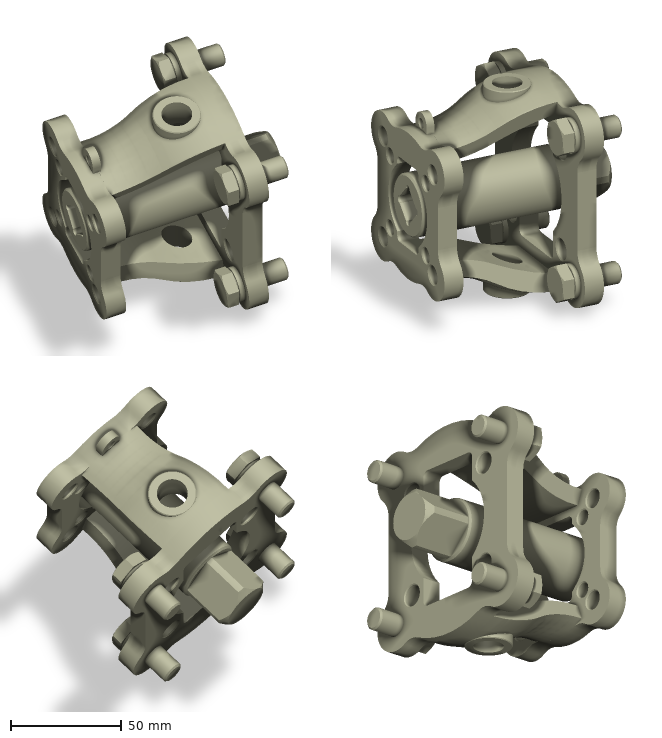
import cadquery as cq
import math

CORNERS = [(-1, -1), (-1, 1), (1, -1), (1, 1)]

plate_thickness = 9.7
back_plate_end = 75.0
back_plate_start = back_plate_end - plate_thickness

front_lobe_offset = 25.6
front_lobe_radius = 11.0
front_half_width = 30.1
front_end_radius = 36.0

back_lobe_offset = 36.0
back_lobe_radius = 12.5
back_half_width = 41.0
back_end_radius = 51.0

outline_fillet = 10.0

front_opening_radius = 19.3
front_opening_half_width = 10.6
front_opening_half_height = 20.9
back_opening_radius = 25.1
back_opening_half_width = 16.7
back_opening_half_height = 33.0
opening_corner_radius = 2.5

outer_hole_offset = 24.8
outer_hole_diameter = 8.9
back_hole_diameter = 10.0
inner_hole_offset = 17.7
inner_hole_diameter = 7.1
hole_chamfer = 0.5

arm_back_radius = back_end_radius
arm_waist = 12.2
arm_waist_radius = 36.0
arm_crease = 35.5
arm_inner_front = 24.5
arm_inner_middle = 22.4
arm_inner_middle_height = 25.5
arm_inner_crease = 29.7
arm_inner_back = 39.3
arm_side_angle = 22.0
arm_front_offset = 4.6
arm_back_offset = 2.1

boss_diameter = 22.0
boss_bore = 14.0
boss_position = 50.5
boss_base = 39.8
boss_chamfer = 0.4

lug_front = 6.7
lug_thickness = 4.0
lug_center_height = 39.3
lug_diameter = 10.9
lug_hole_diameter = 5.1
lug_base = 33.7

shaft_diameter = 30.0
shaft_shoulder = 74.5
shaft_chamfer = 0.9
shaft_end = 98.0
square_width = 22.0
square_corner_diameter = 28.0
square_chamfer = 3.0
socket_width = 14.0
socket_depth = 30.6
socket_relief_diameter = 3.6

washer_diameter = 16.6
washer_thickness = 2.4
collar_diameter = 14.6
collar_thickness = 0.6
head_width = 16.0
head_thickness = 5.8
head_chamfer = 0.7
head_face_margin = 1.3
bolt_diameter = 10.6
bolt_hole_diameter = 10.7
bolt_end = 88.1
bolt_chamfer = 0.8


def drawn_at(y):
    """A plane at depth y whose local axes are X and Z; its extrusions go toward +Y."""
    return cq.Workplane(cq.Plane(origin=(0, y, 0), xDir=(1, 0, 0), normal=(0, -1, 0)))


def cylinder(start, length, diameter, x=0, z=0):
    """A cylinder along +Y."""
    return drawn_at(start).center(x, z).circle(diameter / 2).extrude(-length)


def cone(start, length, start_diameter, end_diameter, x=0, z=0):
    """A cone along +Y."""
    solid = cq.Solid.makeCone(
        start_diameter / 2, end_diameter / 2, length, pnt=cq.Vector(x, start, z), dir=cq.Vector(0, 1, 0)
    )
    return cq.Workplane(solid)


def toward(start, end, distance):
    """The point at a distance from start, on the way to end."""
    share = distance / math.dist(start, end)
    return (start[0] + share * (end[0] - start[0]), start[1] + share * (end[1] - start[1]))


def arc_to(outline, center, start, end):
    """Continues an outline from start to end along the shorter arc about a center."""
    chord_middle = ((start[0] + end[0]) / 2, (start[1] + end[1]) / 2)
    return outline.threePointArc(toward(center, chord_middle, math.dist(center, start)), end)


def plate_blank(start, lobe_offset, lobe_radius, half_width, end_radius):
    """A plate with four corner lobes, straight sides, round ends and tangent fillets between them."""
    axis = (0, 0)
    lobe = (lobe_offset, lobe_offset)
    lobe_reach = lobe_radius + outline_fillet

    lobe_distance = math.hypot(*lobe)
    end_reach = end_radius + outline_fillet
    cosine = (end_reach**2 + lobe_distance**2 - lobe_reach**2) / (2 * end_reach * lobe_distance)
    end_angle = math.pi / 4 + math.acos(cosine)
    end_fillet = (end_reach * math.cos(end_angle), end_reach * math.sin(end_angle))

    side_x = half_width + outline_fillet
    side_fillet = (side_x, lobe_offset - math.sqrt(lobe_reach**2 - (side_x - lobe_offset) ** 2))

    end_middle = (0, end_radius)
    end_tangent = toward(axis, end_fillet, end_radius)
    lobe_end_tangent = toward(lobe, end_fillet, lobe_radius)
    lobe_side_tangent = toward(lobe, side_fillet, lobe_radius)
    side_tangent = (half_width, side_fillet[1])
    lobe_tip = toward(lobe, (2 * lobe_offset, 2 * lobe_offset), lobe_radius)

    outline = drawn_at(start).lineTo(*end_middle)
    outline = arc_to(outline, axis, end_middle, end_tangent)
    outline = arc_to(outline, end_fillet, end_tangent, lobe_end_tangent)
    outline = outline.threePointArc(lobe_tip, lobe_side_tangent)
    outline = arc_to(outline, side_fillet, lobe_side_tangent, side_tangent)
    outline = outline.lineTo(half_width, 0)
    quarter = outline.close().extrude(-plate_thickness)
    half = quarter.union(quarter.mirror("YZ"))
    return half.union(half.mirror("XY"))


def opening_cutter(start, radius, half_width, half_height):
    """A round opening joined by 45 degree tangents to a tall rectangle with rounded corners."""
    tangent = radius * math.sqrt(0.5)
    shoulder = 2 * tangent - half_width
    tangent_band = [
        (half_width, shoulder),
        (tangent, tangent),
        (tangent, -tangent),
        (half_width, -shoulder),
        (-half_width, -shoulder),
        (-tangent, -tangent),
        (-tangent, tangent),
        (-half_width, shoulder),
    ]
    opening = drawn_at(start).rect(2 * half_width, 2 * half_height).extrude(-plate_thickness)
    opening = opening.edges("|Y").fillet(opening_corner_radius)
    opening = opening.union(drawn_at(start).polyline(tangent_band).close().extrude(-plate_thickness))
    return opening.union(cylinder(start, plate_thickness, 2 * radius))


def hole_cutter(start, diameter, x, z):
    """A hole through a plate with a chamfer at both faces."""
    end = start + plate_thickness
    wide = diameter + 2 * hole_chamfer
    cutter = cylinder(start, plate_thickness, diameter, x, z)
    cutter = cutter.union(cone(start, hole_chamfer, wide, diameter, x, z))
    return cutter.union(cone(end - hole_chamfer, hole_chamfer, diameter, wide, x, z))


def make_front_plate():
    plate = plate_blank(0, front_lobe_offset, front_lobe_radius, front_half_width, front_end_radius)
    plate = plate.cut(
        opening_cutter(0, front_opening_radius, front_opening_half_width, front_opening_half_height)
    )
    for side_x, side_z in CORNERS:
        for diameter, offset in (
            (outer_hole_diameter, outer_hole_offset),
            (inner_hole_diameter, inner_hole_offset),
        ):
            plate = plate.cut(hole_cutter(0, diameter, side_x * offset, side_z * offset))
    return plate


def make_back_plate():
    start = back_plate_start
    plate = plate_blank(start, back_lobe_offset, back_lobe_radius, back_half_width, back_end_radius)
    plate = plate.cut(
        opening_cutter(start, back_opening_radius, back_opening_half_width, back_opening_half_height)
    )
    for side_x, side_z in CORNERS:
        x, z = side_x * outer_hole_offset, side_z * outer_hole_offset
        plate = plate.cut(hole_cutter(start, back_hole_diameter, x, z))
        x, z = side_x * back_lobe_offset, side_z * back_lobe_offset
        plate = plate.cut(cylinder(start, plate_thickness, bolt_hole_diameter, x, z))
    return plate


def s_curve(waist, crease, end):
    """Centers of two arcs, tangent at the crease and flat at the waist and end, as (height, y)."""
    rise, run = end[0] - waist[0], end[1] - waist[1]
    radius_sum = (rise**2 + run**2) / (2 * rise)
    waist_radius = radius_sum * (crease - waist[1]) / run
    return (waist[0] + waist_radius, waist[1]), (end[0] - radius_sum + waist_radius, end[1])


def arm_envelope():
    """A solid of revolution about Y: its radius narrows to a waist, then grows along an S."""
    waist = (arm_waist_radius, arm_waist)
    end = (arm_back_radius, back_plate_start)
    waist_center, end_center = s_curve(waist, arm_crease, end)
    waist_curve = waist_center[0] - waist[0]
    crease = toward(waist_center, end_center, waist_curve)
    front_depth = math.sqrt(waist_curve**2 - (arm_waist - plate_thickness) ** 2)
    front = (waist_center[0] - front_depth, plate_thickness)

    profile = cq.Workplane("XY").moveTo(0, plate_thickness).lineTo(*front)
    profile = arc_to(profile, waist_center, front, crease)
    profile = arc_to(profile, end_center, crease, end)
    profile = profile.lineTo(0, back_plate_start).close()
    return profile.revolve(360, (0, 0, 0), (0, 1, 0))


def arm_inner_cutter():
    """The space below the arm: the same across X, with two tangent arcs along Y."""
    start = (plate_thickness, arm_inner_front)
    crease = (arm_crease, arm_inner_crease)
    profile = cq.Workplane("YZ").moveTo(plate_thickness, 0).lineTo(*start)
    profile = profile.threePointArc((arm_inner_middle, arm_inner_middle_height), crease)
    profile = profile.tangentArcPoint((back_plate_start, arm_inner_back), relative=False)
    profile = profile.lineTo(back_plate_start, 0).close()
    return profile.extrude(arm_back_radius, both=True)


def arm_section(offset, spread):
    """A symmetric trapezoid that widens from the axis outward."""
    wide = offset + spread
    return [(-offset, 0), (offset, 0), (wide, arm_back_radius), (-wide, arm_back_radius)]


def make_upper_arm():
    """An arm with slanted sides and a bored boss."""
    spread = arm_back_radius * math.tan(math.radians(arm_side_angle))
    front_sides = arm_section(arm_front_offset, spread)
    back_sides = arm_section(arm_back_offset, spread)
    arm_length = back_plate_start - plate_thickness
    arm = drawn_at(plate_thickness).polyline(front_sides).close()
    arm = arm.workplane(offset=-arm_length).polyline(back_sides).close().loft(ruled=True)
    arm = arm.intersect(arm_envelope()).cut(arm_inner_cutter())

    boss_plane = cq.Workplane("XY", origin=(0, boss_position, boss_base))
    boss = boss_plane.circle(boss_diameter / 2).extrude(arm_back_radius - boss_base)
    boss = boss.faces(">Z").edges().chamfer(boss_chamfer)
    bore_plane = cq.Workplane("XY", origin=(0, boss_position, 0))
    bore = bore_plane.circle(boss_bore / 2).extrude(arm_back_radius)
    return arm.union(boss).cut(bore)


def make_lug():
    lug = cylinder(lug_front, lug_thickness, lug_diameter, z=lug_center_height)
    stem_height = lug_center_height - lug_base
    stem = drawn_at(lug_front).center(0, lug_base + stem_height / 2).rect(lug_diameter, stem_height)
    lug = lug.union(stem.extrude(-lug_thickness))
    return lug.cut(cylinder(lug_front, lug_thickness, lug_hole_diameter, z=lug_center_height))


def make_housing():
    upper_arm = make_upper_arm()
    housing = make_front_plate().union(make_back_plate())
    housing = housing.union(upper_arm).union(upper_arm.mirror("XY"))
    return housing.union(make_lug())


def make_shaft():
    """A round shaft with a square drive at the back and a square socket in the front face."""
    shaft = cylinder(0, shaft_shoulder, shaft_diameter).faces("|Y").edges().chamfer(shaft_chamfer)

    square_length = shaft_end - shaft_shoulder
    square = drawn_at(shaft_shoulder).transformed(rotate=(0, 0, 45))
    square = square.rect(square_width, square_width).extrude(-square_length)
    rounding = cylinder(shaft_shoulder, square_length, square_corner_diameter)
    rounding = rounding.faces(">Y").edges().chamfer(square_chamfer)
    shaft = shaft.union(square.intersect(rounding))

    socket = drawn_at(0).transformed(rotate=(0, 0, 45))
    socket = socket.rect(socket_width, socket_width).extrude(-socket_depth)
    relief_offset = socket_width * math.sqrt(0.5) - socket_relief_diameter / 2
    for x, z in ((1, 0), (-1, 0), (0, 1), (0, -1)):
        relief = cylinder(0, socket_depth, socket_relief_diameter, x * relief_offset, z * relief_offset)
        socket = socket.union(relief)
    return shaft.cut(socket)


def make_washer(x, z):
    start = back_plate_start - washer_thickness
    washer = cylinder(start, washer_thickness, washer_diameter, x, z)
    return washer.cut(cylinder(start, washer_thickness, bolt_hole_diameter, x, z))


def make_bolt(x, z):
    """A hexagon bolt with a round collar under the head and a chamfered tip."""
    collar_start = back_plate_start - washer_thickness - collar_thickness
    head_start = collar_start - head_thickness
    corner_diameter = head_width / math.cos(math.pi / 6)

    head = drawn_at(head_start).center(x, z).transformed(rotate=(0, 0, 30))
    head = head.polygon(6, corner_diameter).extrude(-head_thickness)
    rounding = cylinder(head_start, head_thickness, corner_diameter, x, z)
    rounding = rounding.faces("<Y").edges().chamfer(head_chamfer, head_face_margin)
    shank = cylinder(collar_start, bolt_end - collar_start, bolt_diameter, x, z)
    shank = shank.faces(">Y").edges().chamfer(bolt_chamfer)
    collar = cylinder(collar_start, collar_thickness, collar_diameter, x, z)
    return head.intersect(rounding).union(collar).union(shank)


housing = make_housing()
shaft = make_shaft()
bolts = []
washers = []
for side_x, side_z in CORNERS:
    x, z = side_x * back_lobe_offset, side_z * back_lobe_offset
    bolts.append(make_bolt(x, z).val())
    washers.append(make_washer(x, z).val())

result = cq.Compound.makeCompound([housing.val(), shaft.val(), *bolts, *washers])